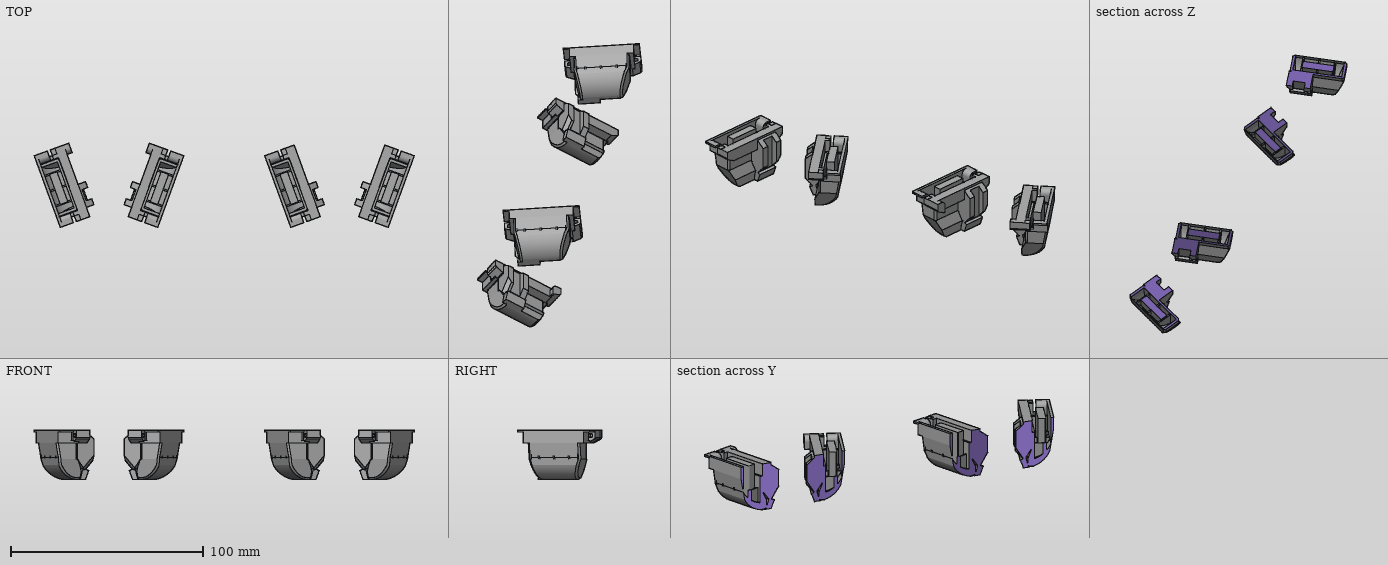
import cadquery as cq
import math


PAIR_PITCH = 120.0
PAIR_WIDTH = 78.0
TILT = 20

LENGTH = 39.8
HEIGHT = 25.8
RIM_HEIGHT = 6.7
WALL = 1.5

TAB_THICKNESS = 1.0
TAB_WIDTH = 7.3
TAB_FLAT = 2.5
LIP_DROP = 0.2
SLOT_WIDTH = 1.5
SLOT_DEPTH = 5.3
RIM_INSET = 3.2
LIP_DEPTH = 5.3

BAR_INNER = 11.5
BAR_OUTER = 16.5
BAR_END_HEIGHT = 3.8
BAR_TAPER = 4.5
BAR_CORNER_INSET = 0.5
BAR_CORNER_HEIGHT = 4.8
LUG_REACH = 19.2
HINGE_HOLE_DIAMETER = 2.2

HULL_INNER = 11.7
KEEL_X = 14.0
KEEL_DEPTH = 20.6
HULL_DRAFT = 2.0
SIDE_DEPTH = 18.5
FLOOR_START = 12.3
SIDE_ARC_MIDDLE = (5.7, -23.2)
HULL_END_INSET = 5.5
END_DEPTH = 15.0
FLOOR_NEAR_INSET = 8.1
FLOOR_FAR_INSET = 10.1
CORNER_CHAMFER = 1.0

CHUTE_START = 5.2
CHUTE_END = 18.0
CHUTE_TOP = 1.2
CHUTE_REACH = 20.6
CHUTE_SHOULDER = 4.5
CHUTE_FACE_BOTTOM = 16.0
CHUTE_KEEL_X = 15.8
CHUTE_KEEL_Z = 21.4
CHUTE_EDGE_CHAMFER = 2.0
EAR_THICKNESS = 3.4
RECESS_BACK = 17.5
SPOUT_INNER_X = 15.0
SPOUT_INNER_TOP = 19.8
SPOUT_TOP_X = 18.2
SPOUT_BOTTOM_X = 16.5
SPOUT_FOOT_X = 13.5
SPOUT_TOP = 21.0
SPOUT_START = 6.5

CORE_START_X = 4.2
CORE_WIDTH = 4.2
CORE_START_Y = 11.3
CORE_LENGTH = 16.6
RIB_THICKNESS = 0.8
RIB_TOP = 13.5
FLOOR_THICKNESS = 4.2
HOLLOW_INNER = 10.3

SLOT_END = TAB_WIDTH + SLOT_WIDTH
LIP_RADIUS = LIP_DEPTH - TAB_FLAT


def box(x_range, y_range, z_range):
    """Box between two X, two Y and two Z values."""
    size = [high - low for low, high in (x_range, y_range, z_range)]
    corner = (x_range[0], y_range[0], z_range[0])
    return cq.Workplane("XY").box(*size, centered=False).translate(corner)


def along_bin(profile, start, end):
    """Extrude a closed XZ profile from Y = start to Y = end."""
    return profile.extrude(start - end).translate((0, start, 0))


def across_bin(profile, start, end):
    """Extrude a closed YZ profile from X = start to X = end."""
    return profile.extrude(end - start).translate((start, 0, 0))


def at_far_end(body):
    """Mirror image, at the far end of the bin, of a feature at the near end."""
    return body.mirror("XZ", (0, LENGTH / 2, 0))


def hull_section():
    """Cross-section of the hull: drafted outer side, curved bilge and flat floor."""
    return (
        cq.Workplane("XZ")
        .moveTo(HULL_INNER, -RIM_HEIGHT)
        .lineTo(0, -RIM_HEIGHT)
        .lineTo(HULL_DRAFT, -SIDE_DEPTH)
        .threePointArc(SIDE_ARC_MIDDLE, (FLOOR_START, -HEIGHT))
        .lineTo(KEEL_X, -HEIGHT)
        .lineTo(KEEL_X, -KEEL_DEPTH)
        .lineTo(HULL_INNER, -END_DEPTH)
        .close()
    )


def hull_ends():
    """Long section of the hull, whose ends lean inward below END_DEPTH."""
    near = HULL_END_INSET
    far = LENGTH - HULL_END_INSET
    profile = cq.Workplane("YZ").polyline(
        [
            (near, -RIM_HEIGHT),
            (near, -END_DEPTH),
            (FLOOR_NEAR_INSET, -HEIGHT),
            (LENGTH - FLOOR_FAR_INSET, -HEIGHT),
            (far, -END_DEPTH),
            (far, -RIM_HEIGHT),
        ]
    ).close()
    return across_bin(profile, 0, KEEL_X)


def plain_hull():
    """Solid hull with sharp corners."""
    return along_bin(hull_section(), 0, LENGTH).intersect(hull_ends())


def make_hull():
    """Solid hull whose end corners are bevelled along the outer side and the bilge."""
    hull = plain_hull()
    for low_y, high_y in ((0, LENGTH / 2), (LENGTH / 2, LENGTH)):
        outer_half = cq.selectors.BoxSelector((0, low_y, -HEIGHT), (FLOOR_START, high_y, -RIM_HEIGHT))
        hull = hull.edges(outer_half).edges("not(|Y or |X)").chamfer(CORNER_CHAMFER)
    return hull


def make_rim():
    """Upright wall around the mouth and the thin tabs at its ends."""
    rim = box((0, BAR_INNER), (RIM_INSET, LENGTH - RIM_INSET), (-RIM_HEIGHT, 0))
    tabs = box((0, TAB_WIDTH), (0, LENGTH), (-TAB_THICKNESS, 0))
    return rim.union(tabs)


def bar_end_section():
    """YZ section of a bar end: flat top, rounded inner top edge and tapered underside."""
    return (
        cq.Workplane("YZ")
        .lineTo(TAB_FLAT, 0)
        .radiusArc((LIP_DEPTH, -LIP_RADIUS), LIP_RADIUS)
        .lineTo(LIP_DEPTH, -RIM_HEIGHT)
        .lineTo(BAR_TAPER, -RIM_HEIGHT)
        .lineTo(BAR_CORNER_INSET, -BAR_CORNER_HEIGHT)
        .lineTo(0, -BAR_END_HEIGHT)
        .close()
    )


def make_bar(has_lug):
    """Bar with tapered ends, a rounded lip beside each slot and an optional lug."""
    profile = cq.Workplane("YZ").polyline(
        [
            (0, 0),
            (LENGTH, 0),
            (LENGTH, -BAR_END_HEIGHT),
            (LENGTH - BAR_CORNER_INSET, -BAR_CORNER_HEIGHT),
            (LENGTH - BAR_TAPER, -RIM_HEIGHT),
            (BAR_TAPER, -RIM_HEIGHT),
            (BAR_CORNER_INSET, -BAR_CORNER_HEIGHT),
            (0, -BAR_END_HEIGHT),
        ]
    ).close()
    bar = across_bin(profile, BAR_INNER, BAR_OUTER)
    lip = across_bin(bar_end_section(), SLOT_END, BAR_INNER)
    lip = lip.cut(box((SLOT_END, BAR_INNER), (0, LIP_DEPTH), (-LIP_DROP, 0)))
    bar = bar.union(lip).union(at_far_end(lip))
    if has_lug:
        lug = across_bin(bar_end_section(), BAR_OUTER, LUG_REACH)
        bar = bar.union(at_far_end(lug))
    return bar


def make_chute():
    """Chute box with a sloped top and underside, and a recess between its two ears."""
    profile = cq.Workplane("XZ").polyline(
        [
            (BAR_INNER, -CHUTE_TOP),
            (BAR_OUTER, -CHUTE_TOP),
            (CHUTE_REACH, -CHUTE_SHOULDER),
            (CHUTE_REACH, -CHUTE_FACE_BOTTOM),
            (CHUTE_KEEL_X, -CHUTE_KEEL_Z),
            (BAR_INNER, -END_DEPTH),
        ]
    ).close()
    chute = along_bin(profile, CHUTE_START, CHUTE_END)
    underside_middle = (
        (CHUTE_REACH + CHUTE_KEEL_X) / 2,
        CHUTE_START,
        -(CHUTE_FACE_BOTTOM + CHUTE_KEEL_Z) / 2,
    )
    chute = chute.edges(cq.NearestToPointSelector(underside_middle)).chamfer(CHUTE_EDGE_CHAMFER)
    recess = box(
        (RECESS_BACK, CHUTE_REACH),
        (CHUTE_START + EAR_THICKNESS, CHUTE_END - EAR_THICKNESS),
        (-HEIGHT, 0),
    )
    return chute.cut(recess)


def make_spout():
    """Nose that carries the floor of the hull out below the chute."""
    profile = cq.Workplane("XZ").polyline(
        [
            (SPOUT_INNER_X, -SPOUT_INNER_TOP),
            (SPOUT_TOP_X, -SPOUT_TOP),
            (SPOUT_BOTTOM_X, -HEIGHT),
            (SPOUT_FOOT_X, -HEIGHT),
        ]
    ).close()
    return along_bin(profile, SPOUT_START, CHUTE_END)


def make_cavity():
    """Space inside the bin: a straight mouth above a hollow that follows the hull."""
    mouth = box((WALL, BAR_INNER), (LIP_DEPTH, LENGTH - LIP_DEPTH), (-RIM_HEIGHT, 0))
    hollow = plain_hull().translate((WALL - HULL_DRAFT, 0, FLOOR_THICKNESS)).intersect(
        box(
            (WALL, HOLLOW_INNER),
            (HULL_END_INSET + WALL, LENGTH - HULL_END_INSET - WALL),
            (-HEIGHT, 0),
        )
    )
    return mouth.union(hollow)


def make_tab_lips():
    """Rounded end walls that lead from the tabs down into the cavity."""
    profile = (
        cq.Workplane("YZ")
        .moveTo(TAB_FLAT, 0)
        .lineTo(LIP_DEPTH, 0)
        .lineTo(LIP_DEPTH, -LIP_RADIUS)
        .radiusArc((TAB_FLAT, 0), -LIP_RADIUS)
        .close()
    )
    trim = across_bin(profile, WALL, SLOT_END)
    return trim.union(at_far_end(trim))


def make_slots():
    """Slots that part the tabs from the bar ends."""
    slot = box((TAB_WIDTH, SLOT_END), (0, LIP_DEPTH), (-SLOT_DEPTH, 0))
    return slot.union(at_far_end(slot))


def make_hinge_holes():
    """Blind holes in the slot faces of the bar lips, concentric with the rounded edge."""
    hole = (
        cq.Workplane("YZ", origin=(SLOT_END, TAB_FLAT, -LIP_RADIUS))
        .circle(HINGE_HOLE_DIAMETER / 2)
        .extrude(BAR_INNER - SLOT_END)
    )
    return hole.union(at_far_end(hole))


def make_core():
    """Upright block inside the cavity with ribs that tie it to the outer side."""
    core_end = CORE_START_Y + CORE_LENGTH
    core = box(
        (CORE_START_X, CORE_START_X + CORE_WIDTH),
        (CORE_START_Y, core_end),
        (-HEIGHT, 0),
    )
    for rib_y in (CORE_START_Y, (CORE_START_Y + core_end) / 2, core_end):
        core = core.union(
            box(
                (0, BAR_INNER),
                (rib_y - RIB_THICKNESS / 2, rib_y + RIB_THICKNESS / 2),
                (-HEIGHT, -RIB_TOP),
            )
        )
    envelope = along_bin(hull_section(), 0, LENGTH)
    mouth = box((0, BAR_INNER), (0, LENGTH), (-RIM_HEIGHT, 0))
    return core.intersect(envelope.union(mouth))


def make_bin(has_lug):
    """One complete bin in its own frame."""
    body = make_rim().union(make_hull()).cut(make_cavity())
    body = body.cut(make_tab_lips()).cut(make_slots())
    body = body.union(make_bar(has_lug)).union(make_chute()).union(make_spout())
    return body.cut(make_hinge_holes()).union(make_core())


def make_bin_pair(has_lug, center_x):
    """A tilted bin and its mirror image, centred on X = center_x."""
    corner_x = LENGTH * math.sin(math.radians(TILT)) - PAIR_WIDTH / 2
    left = make_bin(has_lug).rotate((0, 0, 0), (0, 0, 1), TILT).translate((corner_x, 0, 0))
    right = left.mirror("YZ")
    return [side.translate((center_x, 0, 0)).val() for side in (left, right)]


lugged_bins = make_bin_pair(True, -PAIR_PITCH / 2)
plain_bins = make_bin_pair(False, PAIR_PITCH / 2)

result = cq.Compound.makeCompound([*lugged_bins, *plain_bins])